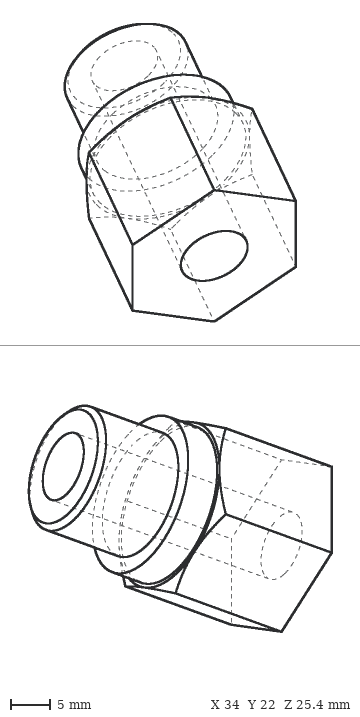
import cadquery as cq
import math

spigot_length = 12.0
collar_length = 4.5
hex_length = 17.5

spigot_diameter = 16.66
collar_diameter = 21.0
hex_sides = 6
hex_across_flats = 22.0
bore_diameter = 9.0

spigot_chamfer = 0.75
hex_chamfer_angle = 30.0

total_length = spigot_length + collar_length + hex_length
hex_start = spigot_length + collar_length
hex_across_corners = hex_across_flats / math.cos(math.pi / hex_sides)


def cylinder_along_x(start, length, diameter):
    """Solid cylinder on the X axis, starting at the given X."""
    return cq.Workplane("YZ", origin=(start, 0, 0)).circle(diameter / 2).extrude(length)


def make_spigot():
    """Round spigot with a chamfered free end."""
    spigot = cylinder_along_x(0, spigot_length, spigot_diameter)
    return spigot.faces("<X").edges().chamfer(spigot_chamfer)


def make_chamfer_envelope():
    """Cylinder around the hexagon corners, coned down to the flats at the collar end."""
    face_radius = hex_across_flats / 2
    corner_radius = hex_across_corners / 2
    cone_length = (corner_radius - face_radius) * math.tan(math.radians(hex_chamfer_angle))
    return (
        cq.Workplane("XY")
        .moveTo(hex_start, 0)
        .lineTo(hex_start, face_radius)
        .lineTo(hex_start + cone_length, corner_radius)
        .lineTo(total_length, corner_radius)
        .lineTo(total_length, 0)
        .close()
        .revolve(360, (0, 0, 0), (1, 0, 0))
    )


def make_hexagon():
    """Hexagon with corners up and down, its corners chamfered at the collar end."""
    corner_up = 90
    prism = (
        cq.Workplane("YZ", origin=(hex_start, 0, 0))
        .polygon(hex_sides, hex_across_corners)
        .extrude(hex_length)
        .rotate((0, 0, 0), (1, 0, 0), corner_up)
    )
    return prism.intersect(make_chamfer_envelope())


collar = cylinder_along_x(spigot_length, collar_length, collar_diameter)
bore = cylinder_along_x(0, total_length, bore_diameter)

result = make_spigot().union(collar).union(make_hexagon()).cut(bore)